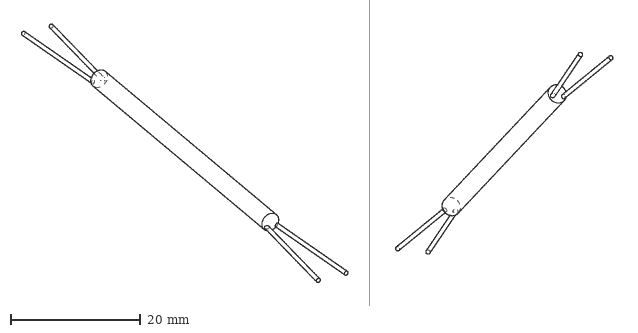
import cadquery as cq
import math

overall_length = 93.82
overall_width = 5.64

body_radius = 1.5
body_length = 54.4
dome_height = 0.75

wire_radius = 0.35
wire_plane_z = -0.5
splay_angle = 4.8
wire_embedment = 2.0

splay_cos = math.cos(math.radians(splay_angle))
splay_sin = math.sin(math.radians(splay_angle))

tip_x = overall_length / 2 - wire_radius * splay_sin
tip_y = overall_width / 2 - wire_radius * splay_cos
root_x = body_length / 2 - wire_embedment
wire_length = (tip_x - root_x) / splay_cos


def make_body():
    """Revolve the half outline, with spherical end caps, about the X axis."""
    half_length = body_length / 2
    apex_x = half_length + dome_height
    sphere_radius = (body_radius**2 + dome_height**2) / (2 * dome_height)
    sphere_center_x = apex_x - sphere_radius
    half_arc_angle = math.atan2(body_radius, half_length - sphere_center_x) / 2
    arc_mid_x = sphere_center_x + sphere_radius * math.cos(half_arc_angle)
    arc_mid_z = sphere_radius * math.sin(half_arc_angle)
    outline = (
        cq.Workplane("XZ")
        .moveTo(-apex_x, 0)
        .threePointArc((-arc_mid_x, arc_mid_z), (-half_length, body_radius))
        .lineTo(half_length, body_radius)
        .threePointArc((arc_mid_x, arc_mid_z), (apex_x, 0))
        .close()
    )
    return outline.revolve(360, (0, 0, 0), (1, 0, 0))


def make_wire(x_side, y_side):
    """Round wire running from its outer tip back into the body."""
    tip = cq.Vector(x_side * tip_x, y_side * tip_y, wire_plane_z)
    inward = cq.Vector(-x_side * splay_cos, -y_side * splay_sin, 0)
    return cq.Solid.makeCylinder(wire_radius, wire_length, tip, inward)


result = make_body()
for x_side in (-1, 1):
    for y_side in (-1, 1):
        result = result.union(cq.Workplane(obj=make_wire(x_side, y_side)))